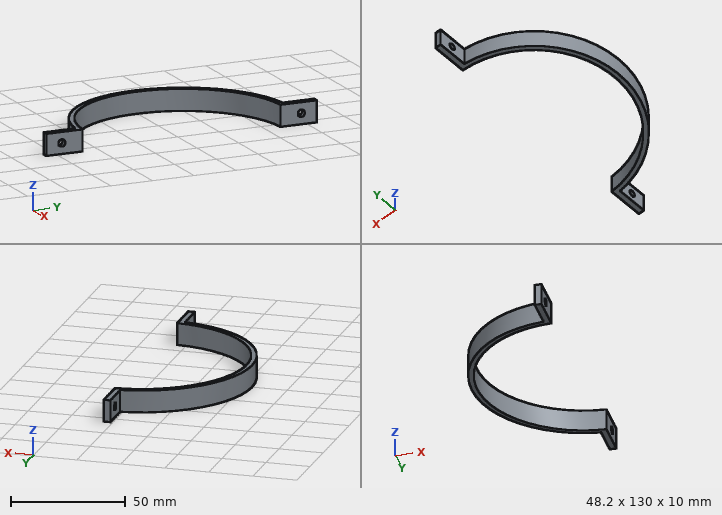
import cadquery as cq

length = 130.0
depth = 48.2
height = 10.0
outer_radius = 50.0
band_thickness = 2.5
tab_thickness = 3.0
hole_diameter = 3.2
hole_spacing = 115.0

inner_radius = outer_radius - band_thickness
mating_face_x = depth - outer_radius
tab_back_x = mating_face_x - tab_thickness
tab_root_y = (inner_radius + outer_radius) / 2


def make_band():
    """Arched strap, cut off flush with the mating face of the tabs."""
    ring = cq.Workplane("XY").circle(outer_radius).circle(inner_radius).extrude(height)
    keep = cq.Workplane("XY").box(depth, length, height, centered=(False, True, False))
    return ring.intersect(keep.translate((-outer_radius, 0, 0)))


def make_tab(side):
    """Flat mounting tab reaching outwards from one end of the band."""
    return (
        cq.Workplane("XY")
        .moveTo(tab_back_x, side * tab_root_y)
        .lineTo(mating_face_x, side * tab_root_y)
        .lineTo(mating_face_x, side * length / 2)
        .lineTo(tab_back_x, side * length / 2)
        .close()
        .extrude(height)
    )


def make_holes():
    """Screw holes running along X through both tabs."""
    return (
        cq.Workplane("YZ", origin=(tab_back_x, 0, height / 2))
        .pushPoints([(-hole_spacing / 2, 0), (hole_spacing / 2, 0)])
        .circle(hole_diameter / 2)
        .extrude(tab_thickness)
    )


clamp = make_band()
for side in (-1, 1):
    clamp = clamp.union(make_tab(side))

result = clamp.cut(make_holes())